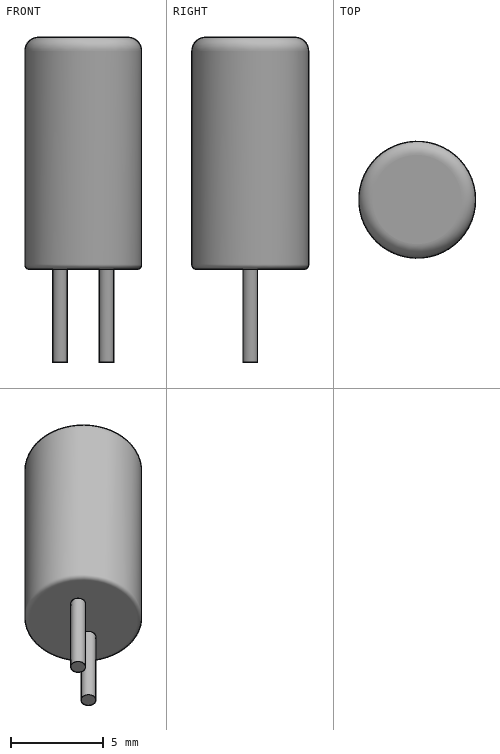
import cadquery as cq

can_diameter = 6.3
can_height = 12.5
top_edge_radius = 0.75
bottom_edge_radius = 0.25

lead_diameter = 0.8
lead_length = 5.0
lead_pitch = 2.5


def make_can():
    """Solid cylinder with a large top rounding and a small bottom rounding."""
    can = cq.Workplane("XY").circle(can_diameter / 2).extrude(can_height)
    can = can.faces(">Z").edges().fillet(top_edge_radius)
    return can.faces("<Z").edges().fillet(bottom_edge_radius)


def make_lead(x):
    """Straight lead that butts against the underside of the can."""
    return cq.Workplane("XY").center(x, 0).circle(lead_diameter / 2).extrude(-lead_length)


can = make_can()
leads = [make_lead(side * lead_pitch / 2) for side in (-1, 1)]

result = cq.Compound.makeCompound([can.val(), *[lead.val() for lead in leads]])